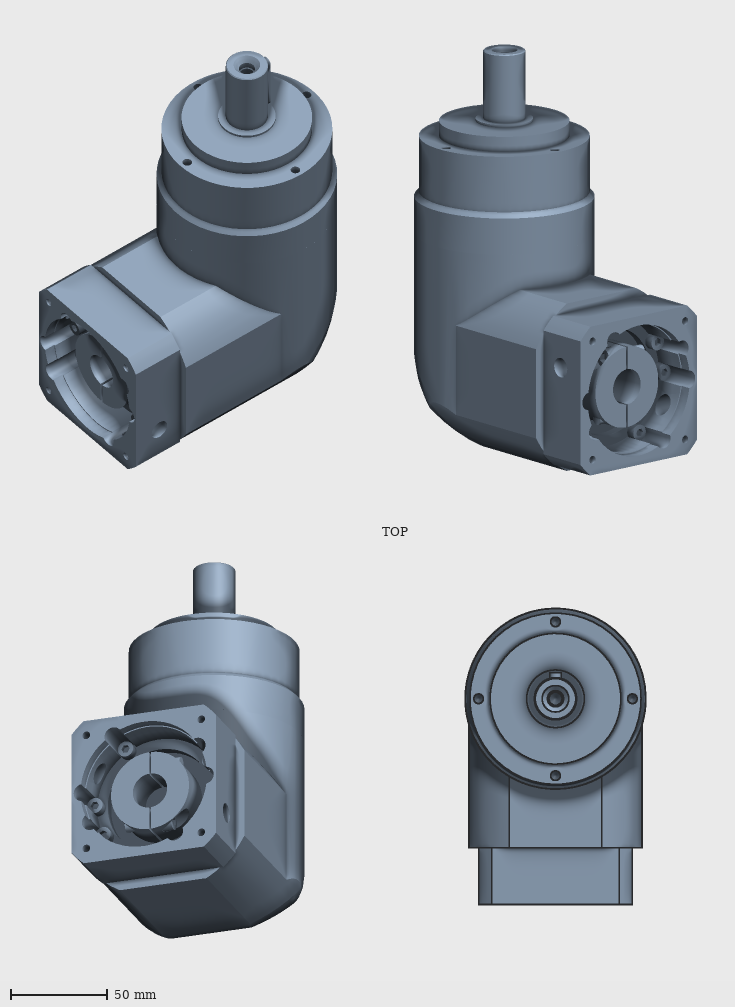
import cadquery as cq
import math


body_radius = 47.0
elbow_top = 64.0

collar_top = 86.2
collar_chamfer_radial = 2.5
collar_chamfer_height = 2.7
head_radius = body_radius - collar_chamfer_radial
head_top = 116.0
pilot_radius = 34.0
pilot_top = 124.0
seal_radius = 15.0
seal_top = 125.3
shaft_radius = 11.0
shaft_top = 162.0
shaft_chamfer = 0.5
mount_hole_count = 4
mount_hole_radius = 2.5
mount_hole_circle = 40.0
mount_hole_depth = 10.0
drill_point_angle = 118.0

centre_mouth_radius = 6.9
centre_relief_radius = 4.2
centre_drill_radius = 3.4
centre_cone_depth = 2.7
centre_relief_depth = 6.0
centre_drill_depth = 20.0

key_width = 6.0
key_height = 6.0
key_length = 32.0
key_bottom = 127.0
key_outer_y = 13.5

input_width = 90.0
input_corner_radius = 51.0
input_face_y = -77.5
bevel_offset = 41.6
bevel_fillet = 15.0
bevel_reach = 20.0

adapter_length = 29.5
adapter_width = 80.0
adapter_corner_radius = 52.0
motor_pilot_radius = 35.0
motor_pilot_depth = 6.0
adapter_bore_radius = 34.4
adapter_floor_thickness = 5.5
adapter_floor_hole_radius = 28.7
motor_hole_radius = 2.1
motor_hole_circle = 45.0
motor_hole_depth = 12.0
adapter_bolt_circle = 34.0
adapter_bolt_angles = (0, 30, 120, 180, 210, 300)
bolt_channel_radius = 4.75
bolt_head_radius = 4.25
bolt_head_height = 5.0
bolt_socket_width = 4.0
bolt_socket_depth = 2.5
access_hole_radius = 5.2

hub_radius = 21.6
hub_bore_radius = 9.5
hub_recess = 9.5
hub_slot_width = 1.3
clamp_screw_y = -91.2
clamp_screw_offset = 16.0
clamp_head_radius = 5.0
clamp_head_height = 6.0
clamp_head_seat = -4.8
clamp_shank_radius = 3.0
clamp_shank_length = 20.0
clamp_socket_width = 5.0
clamp_socket_depth = 3.0
clamp_socket_turn = 30.0
clamp_counterbore_radius = 5.2

adapter_face_y = input_face_y - adapter_length
adapter_floor_y = input_face_y - adapter_floor_thickness
hub_face_y = adapter_face_y + hub_recess
hub_length = input_face_y - hub_face_y


def input_section(y):
    """Sketch plane across the input axis: local x is X, local y is Z, extrusion runs toward -Y."""
    return cq.Workplane("XZ", origin=(0, y, 0))


def hexagon_diameter(across_flats):
    return across_flats / math.cos(math.pi / 6)


def drilled_hole(radius, depth):
    """Blind hole tool with a conical point, its mouth at the origin and its point toward -Z."""
    point = radius / math.tan(math.radians(drill_point_angle / 2))
    profile = [(0, 0), (radius, 0), (radius, -depth), (0, -depth - point)]
    return cq.Workplane("XZ").polyline(profile).close().revolve(360, (0, 0), (0, 1))


def make_key():
    return (
        cq.Workplane("XZ", origin=(0, key_outer_y, key_bottom + key_length / 2))
        .slot2D(key_length, key_width, 90)
        .extrude(key_height)
    )


def make_gear_head(key):
    profile = [
        (0, elbow_top),
        (body_radius, elbow_top),
        (body_radius, collar_top - collar_chamfer_height),
        (head_radius, collar_top),
        (head_radius, head_top),
        (pilot_radius, head_top),
        (pilot_radius, pilot_top),
        (seal_radius, pilot_top),
        (seal_radius, seal_top),
        (shaft_radius, seal_top),
        (shaft_radius, shaft_top - shaft_chamfer),
        (shaft_radius - shaft_chamfer, shaft_top),
        (centre_mouth_radius, shaft_top),
        (centre_relief_radius, shaft_top - centre_cone_depth),
        (centre_relief_radius, shaft_top - centre_relief_depth),
        (0, shaft_top - centre_relief_depth),
    ]
    head = cq.Workplane("XZ").polyline(profile).close().revolve(360, (0, 0), (0, 1))
    centre_drill = drilled_hole(centre_drill_radius, centre_drill_depth)
    head = head.cut(centre_drill.translate((0, 0, shaft_top)))

    mount_hole = drilled_hole(mount_hole_radius, mount_hole_depth)
    mount_hole = mount_hole.translate((mount_hole_circle, 0, head_top))
    for index in range(mount_hole_count):
        angle = index * 360 / mount_hole_count
        head = head.cut(mount_hole.rotate((0, 0, 0), (0, 0, 1), angle))
    return head.cut(key)


def bevel_outer_corner(body, reach, edge_choice):
    """Cut away the corner beyond the bevel plane and round the chosen edges of the cut.

    Only the part of the body inside the block `reach` is bevelled.
    """
    far = 4 * body_radius
    corner = [
        (bevel_offset + far, far),
        (bevel_offset + far, -far),
        (bevel_offset - far, -far),
    ]
    cutter = cq.Workplane("YZ", origin=(-far, 0, 0)).polyline(corner).close().extrude(2 * far)
    bevel_face = cq.selectors.DirectionMinMaxSelector(cq.Vector(0, 1, -1), True)
    bevelled = body.intersect(reach).cut(cutter).faces(bevel_face).edges(edge_choice).fillet(bevel_fillet)
    return body.cut(reach).union(bevelled)


def make_elbow():
    depth = 2 * body_radius
    length = depth - input_face_y

    column = cq.Workplane("XY", origin=(0, 0, -depth)).circle(body_radius).extrude(depth + elbow_top)
    column_reach = input_section(depth).rect(2 * depth, 4 * depth).extrude(depth + bevel_reach)
    column = bevel_outer_corner(column, column_reach, "%ELLIPSE")

    barrel = input_section(depth).circle(input_corner_radius).extrude(length)
    slab = input_section(depth).rect(2 * depth, input_width).extrude(length)
    leg_reach = cq.Workplane("XY", origin=(0, 0, bevel_reach)).rect(4 * depth, 4 * depth).extrude(-depth)
    leg = bevel_outer_corner(barrel.intersect(slab), leg_reach, "%ELLIPSE or <Z")

    square_front = input_section(0).rect(input_width, input_width).extrude(-input_face_y)
    above_axis = cq.Workplane("XY").rect(2 * depth, 2 * depth).extrude(elbow_top)
    return (
        column.intersect(above_axis)
        .union(column.intersect(leg))
        .union(leg.intersect(square_front))
    )


def make_adapter():
    plate = input_section(input_face_y).rect(adapter_width, adapter_width).extrude(adapter_length)
    corners = input_section(input_face_y).circle(adapter_corner_radius).extrude(adapter_length)
    plate = plate.intersect(corners)

    floor_hole = input_section(input_face_y).circle(adapter_floor_hole_radius).extrude(adapter_length)
    bore = input_section(adapter_floor_y).circle(adapter_bore_radius).extrude(adapter_length)
    pilot_floor = input_section(adapter_face_y + motor_pilot_depth)
    pilot = pilot_floor.circle(motor_pilot_radius).extrude(motor_pilot_depth)
    plate = plate.cut(floor_hole).cut(bore).cut(pilot)

    motor_hole = drilled_hole(motor_hole_radius, motor_hole_depth).rotate((0, 0, 0), (1, 0, 0), 90)
    motor_hole = motor_hole.translate((motor_hole_circle, adapter_face_y, 0))
    for angle in (45, 135, 225, 315):
        plate = plate.cut(motor_hole.rotate((0, 0, 0), (0, 1, 0), angle))

    channel = (
        input_section(adapter_floor_y)
        .center(adapter_bolt_circle, 0)
        .circle(bolt_channel_radius)
        .extrude(adapter_length)
    )
    bolt = (
        input_section(adapter_floor_y)
        .center(adapter_bolt_circle, 0)
        .circle(bolt_head_radius)
        .extrude(bolt_head_height)
        .faces("<Y")
        .workplane()
        .polygon(6, hexagon_diameter(bolt_socket_width))
        .cutBlind(-bolt_socket_depth)
    )
    for angle in adapter_bolt_angles:
        plate = plate.cut(channel.rotate((0, 0, 0), (0, 1, 0), -angle))
    for angle in adapter_bolt_angles:
        plate = plate.union(bolt.rotate((0, 0, 0), (0, 1, 0), -angle))

    access = (
        cq.Workplane("YZ", origin=(-adapter_width, clamp_screw_y, clamp_screw_offset))
        .circle(access_hole_radius)
        .extrude(adapter_width)
    )
    return plate.cut(access).cut(access.rotate((0, 0, 0), (0, 1, 0), 180))


def make_hub():
    hub = input_section(input_face_y).circle(hub_radius).circle(hub_bore_radius).extrude(hub_length)
    hub = hub.cut(input_section(input_face_y).rect(hub_slot_width, 2 * hub_radius).extrude(hub_length))

    seat = cq.Workplane("YZ", origin=(clamp_head_seat, clamp_screw_y, clamp_screw_offset))
    counterbore = seat.circle(clamp_counterbore_radius).extrude(-hub_radius)
    screw = (
        seat.circle(clamp_head_radius)
        .extrude(-clamp_head_height)
        .faces("<X")
        .workplane()
        .transformed(rotate=(0, 0, clamp_socket_turn))
        .polygon(6, hexagon_diameter(clamp_socket_width))
        .cutBlind(-clamp_socket_depth)
        .union(seat.circle(clamp_shank_radius).extrude(clamp_shank_length))
    )
    for angle in (0, 180):
        hub = hub.cut(counterbore.rotate((0, 0, 0), (0, 1, 0), angle))
        hub = hub.union(screw.rotate((0, 0, 0), (0, 1, 0), angle))
    return hub


key = make_key()
gear_head = make_gear_head(key)
elbow = make_elbow()
adapter = make_adapter()
hub = make_hub()

result = cq.Compound.makeCompound([key.val(), gear_head.val(), elbow.val(), adapter.val(), hub.val()])